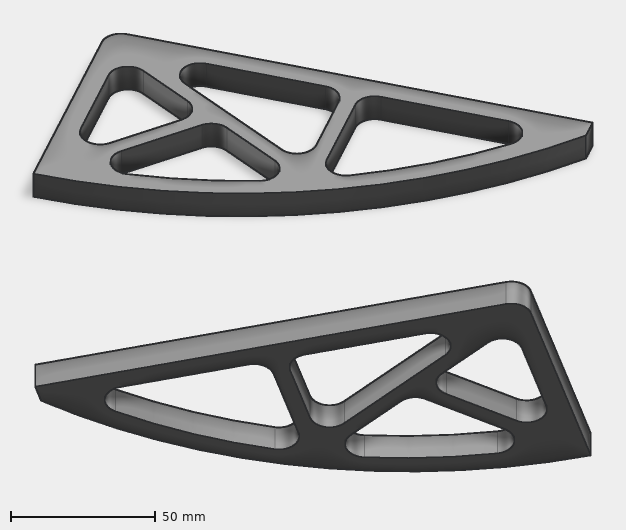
import cadquery as cq
import math

LENGTH = 176.0
WIDTH = 86.0
THICKNESS = 10.0
TIP_HEIGHT = 7.7
CORNER_RADIUS = 7.0

RIM = 8.0
STRUT_WIDTH = 6.0
UPRIGHT_X = 91.5
DIAGONAL_START_Y = 82.4
DIAGONAL_ANGLE = -31.0
DIAGONAL_OVERRUN = 1.2
BRACE_ANGLE = 45.7

OUTER_RADIUS = 232.3
curve_end_y = WIDTH - TIP_HEIGHT
half_chord = math.hypot(LENGTH, curve_end_y) / 2
chord_angle = math.atan2(curve_end_y, LENGTH)
centre_distance = math.sqrt(OUTER_RADIUS**2 - half_chord**2)
outer_centre = (
    LENGTH / 2 - centre_distance * math.sin(chord_angle),
    curve_end_y / 2 + centre_distance * math.cos(chord_angle),
)

INNER_RADIUS = 211.2
INNER_CENTRE = (7.5, 219.5)


def curve_y(x, centre, radius):
    """Height at x on the lower half of a circle."""
    return centre[1] - math.sqrt(radius**2 - (x - centre[0]) ** 2)


def strut(start, end):
    """A straight bar of full plate thickness between two centreline points."""
    dx = end[0] - start[0]
    dy = end[1] - start[1]
    middle = ((start[0] + end[0]) / 2, (start[1] + end[1]) / 2)
    return (
        cq.Workplane("XY")
        .box(math.hypot(dx, dy), STRUT_WIDTH, THICKNESS, centered=(True, True, False))
        .rotate((0, 0, 0), (0, 0, 1), math.degrees(math.atan2(dy, dx)))
        .translate((middle[0], middle[1], 0))
    )


def plate():
    """Solid plate with one rounded corner and one curved side."""
    middle_x = LENGTH / 2
    return (
        cq.Workplane("XY")
        .moveTo(0, 0)
        .threePointArc((middle_x, curve_y(middle_x, outer_centre, OUTER_RADIUS)), (LENGTH, curve_end_y))
        .lineTo(LENGTH, WIDTH)
        .lineTo(0, WIDTH)
        .close()
        .extrude(THICKNESS)
        .edges(cq.selectors.NearestToPointSelector((0, WIDTH, THICKNESS / 2)))
        .fillet(CORNER_RADIUS)
    )


def rim_opening():
    """Area inside the rim, bounded by the left side, the top and the curve."""
    top = WIDTH - RIM
    right = INNER_CENTRE[0] + math.sqrt(INNER_RADIUS**2 - (INNER_CENTRE[1] - top) ** 2)
    middle_x = (RIM + right) / 2
    return (
        cq.Workplane("XY")
        .moveTo(RIM, curve_y(RIM, INNER_CENTRE, INNER_RADIUS))
        .threePointArc((middle_x, curve_y(middle_x, INNER_CENTRE, INNER_RADIUS)), (right, top))
        .lineTo(RIM, top)
        .close()
        .extrude(THICKNESS)
    )


def windows():
    """Four rounded windows left between the rim and the struts."""
    diagonal_slope = math.tan(math.radians(DIAGONAL_ANGLE))
    brace_slope = math.tan(math.radians(BRACE_ANGLE))
    diagonal_start = (0, DIAGONAL_START_Y)
    diagonal_end_x = UPRIGHT_X + DIAGONAL_OVERRUN
    diagonal_end = (diagonal_end_x, DIAGONAL_START_Y + diagonal_slope * diagonal_end_x)
    junction_y = DIAGONAL_START_Y + diagonal_slope * UPRIGHT_X
    upright_start = (UPRIGHT_X, junction_y - STRUT_WIDTH / 4)
    brace_end_x = DIAGONAL_START_Y / (brace_slope - diagonal_slope)
    brace_end = (brace_end_x, brace_slope * brace_end_x)
    return (
        rim_opening()
        .cut(strut(diagonal_start, diagonal_end))
        .cut(strut((0, 0), brace_end))
        .cut(strut(upright_start, (UPRIGHT_X, WIDTH)))
        .edges("|Z")
        .fillet(CORNER_RADIUS)
    )


result = plate().cut(windows())